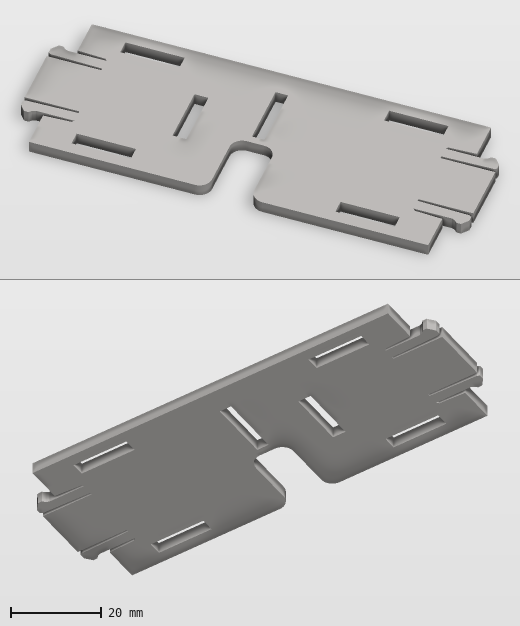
import cadquery as cq

length = 106.0
width = 40.0
thickness = 3.0
body_length = 94.3
tongue_width = 14.0

arm_root_x = 40.1
arm_inner_root_y = 7.5
arm_inner_tip_y = 7.8
arm_outer_y = 10.2
tip_chamfer_length = 0.6
tip_chamfer_height = 0.3
tip_flat_top_y = 9.4
hook_start_x = 49.2
hook_bend_x = 49.9
hook_bend_y = 10.5
hook_crest_y = 11.1
hook_crest_start_x = 50.6
hook_crest_end_x = 51.6

clearance_root_y = 10.7
clearance_mouth_y = 11.0
clearance_root_chamfer = 0.4

slot_length = 14.0
slot_width = 3.3
corner_slot_x = 31.2
corner_slot_y = 15.5
side_slot_x = -16.4
center_slot_length = 15.0
center_slot_width = 3.0
center_slot_y = 6.4

notch_width = 10.0
notch_top_y = -3.0
notch_radius = 3.0

half_length = length / 2
half_width = width / 2
half_body = body_length / 2
half_tongue = tongue_width / 2


def snap_end_points():
    """Outline of one quarter of the plate, from the tongue end to the long edge."""
    return [
        (half_length, half_tongue),
        (arm_root_x, half_tongue),
        (arm_root_x, arm_inner_root_y),
        (half_length - tip_chamfer_length, arm_inner_tip_y),
        (half_length, arm_inner_tip_y + tip_chamfer_height),
        (half_length, tip_flat_top_y),
        (hook_crest_end_x, hook_crest_y),
        (hook_crest_start_x, hook_crest_y),
        (hook_bend_x, hook_bend_y),
        (hook_start_x, arm_outer_y),
        (arm_root_x, arm_outer_y),
        (arm_root_x + clearance_root_chamfer, clearance_root_y),
        (half_body, clearance_mouth_y),
        (half_body, half_width),
    ]


def plate():
    """Flat plate with tongues and snap arms, symmetric about both axes."""
    quarter = snap_end_points()
    upper = quarter + [(-x, y) for x, y in reversed(quarter)]
    lower = [(-x, -y) for x, y in upper]
    return cq.Workplane("XY").polyline(upper + lower).close().extrude(thickness)


def slot(x, y, size_x, size_y):
    return cq.Workplane("XY").center(x, y).rect(size_x, size_y).extrude(thickness)


def notch():
    """Notch with rounded inner corners and a flared, rounded mouth."""
    half_notch = notch_width / 2
    mouth_y = -half_width
    return (
        cq.Workplane("XY")
        .moveTo(-half_notch - notch_radius, mouth_y)
        .radiusArc((-half_notch, mouth_y + notch_radius), -notch_radius)
        .lineTo(-half_notch, notch_top_y - notch_radius)
        .radiusArc((-half_notch + notch_radius, notch_top_y), notch_radius)
        .lineTo(half_notch - notch_radius, notch_top_y)
        .radiusArc((half_notch, notch_top_y - notch_radius), notch_radius)
        .lineTo(half_notch, mouth_y + notch_radius)
        .radiusArc((half_notch + notch_radius, mouth_y), -notch_radius)
        .close()
        .extrude(thickness)
    )


result = plate().cut(notch())
for x in (-corner_slot_x, corner_slot_x):
    for y in (-corner_slot_y, corner_slot_y):
        result = result.cut(slot(x, y, slot_length, slot_width))
result = result.cut(slot(side_slot_x, 0, slot_width, slot_length))
result = result.cut(slot(0, center_slot_y, center_slot_width, center_slot_length))